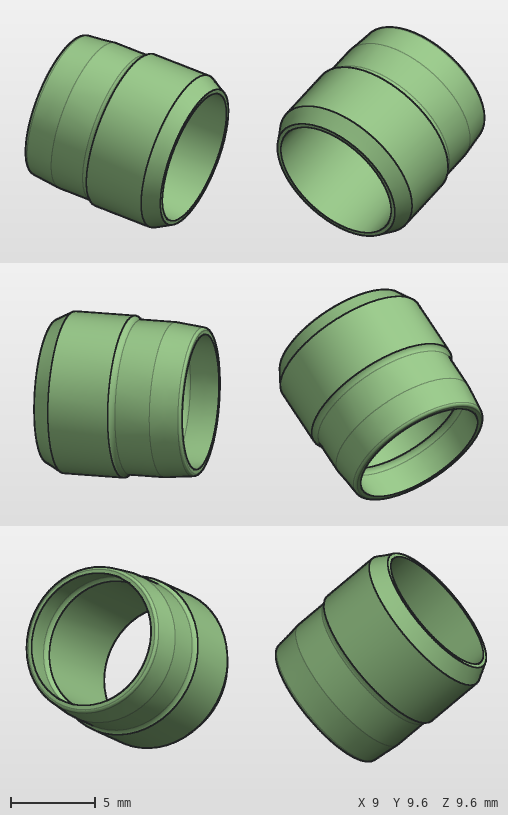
import cadquery as cq
import math

length = 9.0
body_radius = 4.8
neck_radius = 9.2 / 2
bore_radius = 8.0 / 2

lip_radius = 4.42
lip_rounding = 0.17
taper_end = 1.87
shoulder_end = 4.35
chamfer_length = 1.0
chamfer_depth = 0.54

shoulder_length = 0.37
shoulder_height = body_radius - neck_radius
shoulder_arc_radius = (shoulder_length**2 + shoulder_height**2) / (2 * shoulder_height)

inner_shoulder_end = 2.19
flare_radius = bore_radius + shoulder_height


def shoulder_midpoint(start_x, start_radius, radial_direction):
    """Middle of a shoulder arc that leaves its start parallel to the axis."""
    half_angle = math.asin(shoulder_length / shoulder_arc_radius) / 2
    axial_step = shoulder_arc_radius * math.sin(half_angle)
    radial_step = shoulder_arc_radius * (1 - math.cos(half_angle))
    return (start_x + axial_step, start_radius + radial_direction * radial_step)


outer_start = shoulder_end - shoulder_length
inner_start = inner_shoulder_end - shoulder_length

profile = (
    cq.Workplane("XY")
    .moveTo(0, bore_radius)
    .lineTo(0, lip_radius - lip_rounding)
    .radiusArc((lip_rounding, lip_radius), lip_rounding)
    .lineTo(taper_end, neck_radius)
    .lineTo(outer_start, neck_radius)
    .threePointArc(shoulder_midpoint(outer_start, neck_radius, 1), (shoulder_end, body_radius))
    .lineTo(length - chamfer_length, body_radius)
    .lineTo(length, body_radius - chamfer_depth)
    .lineTo(length, bore_radius)
    .lineTo(inner_shoulder_end, bore_radius)
    .threePointArc(shoulder_midpoint(inner_start, flare_radius, -1), (inner_start, flare_radius))
    .close()
)

result = profile.revolve(360, (0, 0, 0), (1, 0, 0))